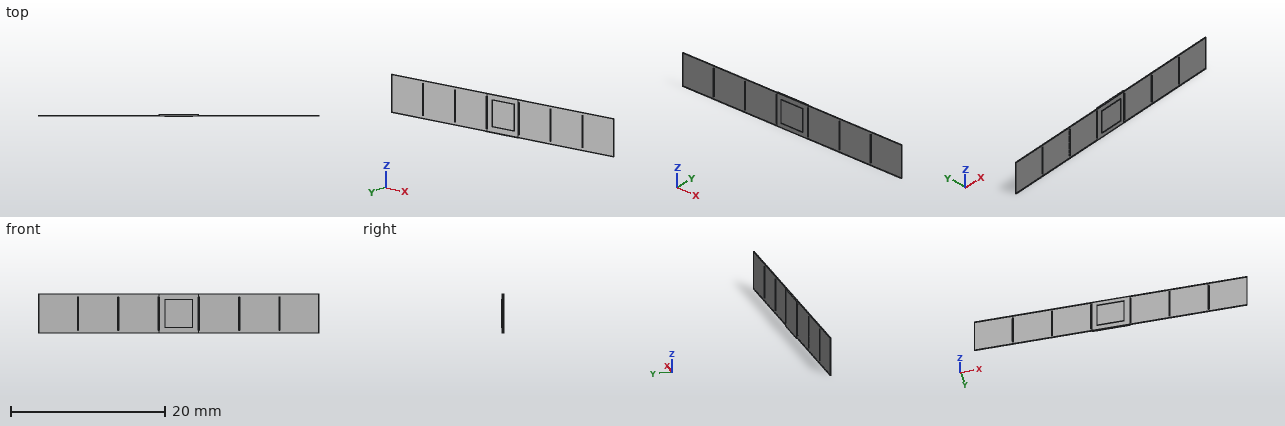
import cadquery as cq

length = 36.32
panel_size = 5.1
panel_count = 7
panel_gap = 0.135
slot_width = 0.1
slot_height = 4.3
slot_count = panel_count - 1
slot_pitch = panel_size + panel_gap

total_depth = 0.3
sheet_thickness = 0.12
plate_thickness = 0.1
pad_thickness = total_depth - sheet_thickness - plate_thickness
pad_size = 3.6


def layer(width, height, thickness, front_y):
    """Rectangular layer centred in X and Z, with its front face at front_y."""
    block = cq.Workplane("XY").box(width, thickness, height)
    return block.translate((0, front_y + thickness / 2, 0))


sheet = layer(length, panel_size, sheet_thickness, 0)

slot = layer(slot_width, slot_height, sheet_thickness, 0)
for index in range(slot_count):
    slot_x = (index - (slot_count - 1) / 2) * slot_pitch
    sheet = sheet.cut(slot.translate((slot_x, 0, 0)))

front_pad = layer(pad_size, pad_size, pad_thickness, -pad_thickness)
rear_plate = layer(panel_size, panel_size, plate_thickness, sheet_thickness)

result = sheet.union(front_pad).union(rear_plate)